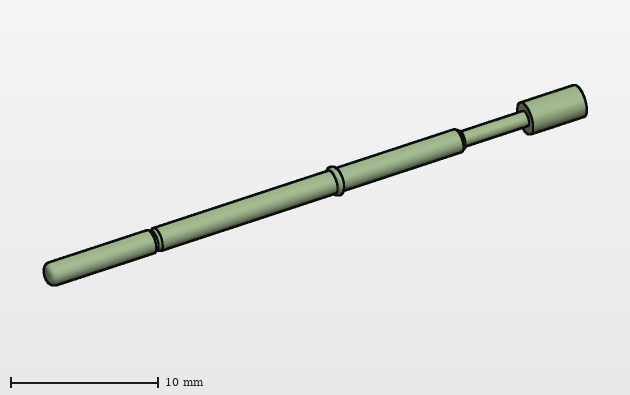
import cadquery as cq
import math

total_length = 41.1

head_diameter = 2.3
head_length = 4.15
shaft_diameter = 1.1

barrel_diameter = 1.66
barrel_length = 32.0
tail_round_radius = 0.45
mouth_diameter = 1.3
mouth_taper_length = 0.27

ring_diameter = 2.06
ring_width = 0.5
ring_center = 22.26

crimp_width = 0.5
crimp_depth = 0.13
crimp_center = 8.25

head_radius = head_diameter / 2
shaft_radius = shaft_diameter / 2
barrel_radius = barrel_diameter / 2
mouth_radius = mouth_diameter / 2
ring_radius = ring_diameter / 2
head_start = total_length - head_length
mouth_start = barrel_length - mouth_taper_length


def revolve_about_y(profile):
    """Turn a closed half profile, drawn as (radius, Y), once around the Y axis."""
    return profile.close().revolve(360, (0, 0, 0), (0, 1, 0))


def make_barrel():
    """Body with a rounded tail, a V crimp, a press ring and a tapered mouth."""
    tail_flat_radius = barrel_radius - tail_round_radius
    tail_arc_offset = tail_round_radius * math.sqrt(0.5)
    profile = (
        cq.Workplane("XY")
        .lineTo(tail_flat_radius, 0)
        .threePointArc(
            (tail_flat_radius + tail_arc_offset, tail_round_radius - tail_arc_offset),
            (barrel_radius, tail_round_radius),
        )
        .lineTo(barrel_radius, crimp_center - crimp_width / 2)
        .lineTo(barrel_radius - crimp_depth, crimp_center)
        .lineTo(barrel_radius, crimp_center + crimp_width / 2)
        .lineTo(barrel_radius, ring_center - ring_width / 2)
        .threePointArc(
            (ring_radius, ring_center),
            (barrel_radius, ring_center + ring_width / 2),
        )
        .lineTo(barrel_radius, mouth_start)
        .lineTo(mouth_radius, barrel_length)
        .lineTo(0, barrel_length)
    )
    return revolve_about_y(profile)


def make_plunger():
    """Slim shaft leaving the barrel mouth, ending in a plain cylindrical head."""
    profile = (
        cq.Workplane("XY")
        .moveTo(0, mouth_start)
        .lineTo(shaft_radius, mouth_start)
        .lineTo(shaft_radius, head_start)
        .lineTo(head_radius, head_start)
        .lineTo(head_radius, total_length)
        .lineTo(0, total_length)
    )
    return revolve_about_y(profile)


result = make_barrel().union(make_plunger())